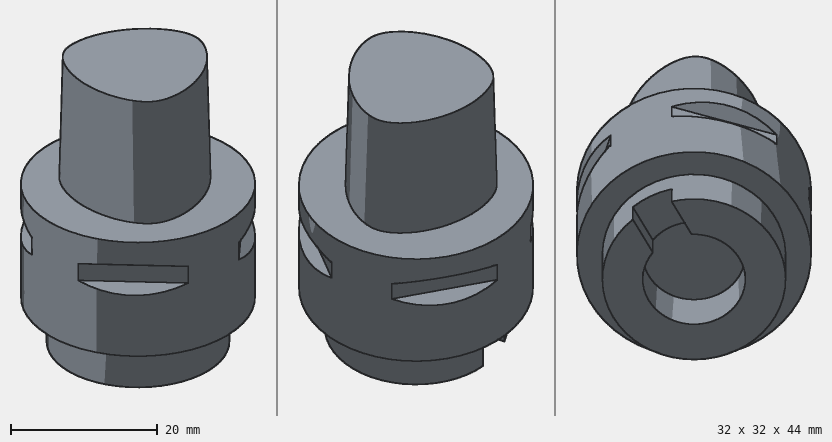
import cadquery as cq
import math

TOTAL_HEIGHT = 44.0
RING_HEIGHT = 7.0
SHANK_HEIGHT = 19.0
FLANGE_TOP = TOTAL_HEIGHT - SHANK_HEIGHT
FLANGE_HEIGHT = FLANGE_TOP - RING_HEIGHT

FLANGE_DIAMETER = 32.0
SLOT_COUNT = 4
SLOT_START_ANGLE = 45.0
SLOT_CENTER_BELOW_TOP = 6.0
SLOT_FLOOR_RADIUS = 14.12
SLOT_FLOOR_HEIGHT = 2.65
SLOT_WALL_ANGLE = 30.0
SLOT_OVERCUT = 0.9

SHANK_BASE_WIDTH = 20.7
SHANK_WIDTH_TAPER = 1 / 20
SHANK_TOP_WIDTH = SHANK_BASE_WIDTH - SHANK_HEIGHT * SHANK_WIDTH_TAPER
LOBE_COUNT = 3
LOBE_RISE = 0.7
PROFILE_POINTS = 48
SEAM_ANGLE = -math.pi / 2

RING_DIAMETER = 25.0
RING_BORE_DIAMETER = 14.0
NOTCH_WIDTH = 6.0
NOTCH_HEIGHT = 3.5


def lobed_profile(width, z):
    """Closed constant-width curve, with one lobe pointing to +Y."""

    def point(t):
        normal = SEAM_ANGLE + 2 * math.pi * t
        lobe_angle = LOBE_COUNT * (normal - math.pi / 2)
        reach = width / 2 + LOBE_RISE * math.cos(lobe_angle)
        slope = -LOBE_COUNT * LOBE_RISE * math.sin(lobe_angle)
        return cq.Vector(
            reach * math.cos(normal) - slope * math.sin(normal),
            reach * math.sin(normal) + slope * math.cos(normal),
            z,
        )

    points = [point(index / PROFILE_POINTS) for index in range(PROFILE_POINTS)]
    curve = cq.Edge.makeSpline(points, periodic=True)
    return cq.Wire.assembleEdges([curve])


def make_shank():
    base = lobed_profile(SHANK_BASE_WIDTH, FLANGE_TOP)
    top = lobed_profile(SHANK_TOP_WIDTH, TOTAL_HEIGHT)
    return cq.Workplane(cq.Solid.makeLoft([base, top], True))


def make_slot_cutter():
    """Straight slot with a flat floor and flared walls, facing +X."""
    outer_radius = FLANGE_DIAMETER / 2 + SLOT_OVERCUT
    flare = (outer_radius - SLOT_FLOOR_RADIUS) * math.tan(math.radians(SLOT_WALL_ANGLE))
    half_floor = SLOT_FLOOR_HEIGHT / 2
    half_mouth = half_floor + flare
    return (
        cq.Workplane("XZ", origin=(0, 0, FLANGE_TOP - SLOT_CENTER_BELOW_TOP))
        .moveTo(SLOT_FLOOR_RADIUS, -half_floor)
        .lineTo(outer_radius, -half_mouth)
        .lineTo(outer_radius, half_mouth)
        .lineTo(SLOT_FLOOR_RADIUS, half_floor)
        .close()
        .extrude(FLANGE_DIAMETER / 2, both=True)
    )


def make_holder():
    """Slotted flange and lobed shank, one solid."""
    flange = (
        cq.Workplane("XY", origin=(0, 0, RING_HEIGHT))
        .circle(FLANGE_DIAMETER / 2)
        .extrude(FLANGE_HEIGHT)
    )
    slot = make_slot_cutter()
    for index in range(SLOT_COUNT):
        angle = SLOT_START_ANGLE + index * 360 / SLOT_COUNT
        flange = flange.cut(slot.rotate((0, 0, 0), (0, 0, 1), angle))
    return flange.union(make_shank())


def make_ring():
    """Bored ring below the flange, notched through its -X wall."""
    ring = (
        cq.Workplane("XY")
        .circle(RING_DIAMETER / 2)
        .circle(RING_BORE_DIAMETER / 2)
        .extrude(RING_HEIGHT)
    )
    notch = cq.Workplane("XY").box(
        RING_DIAMETER / 2, NOTCH_WIDTH, NOTCH_HEIGHT, centered=(False, True, False)
    )
    return ring.cut(notch.translate((-RING_DIAMETER / 2, 0, 0)))


holder = make_holder()
ring = make_ring()

result = cq.Compound.makeCompound([holder.val(), ring.val()])